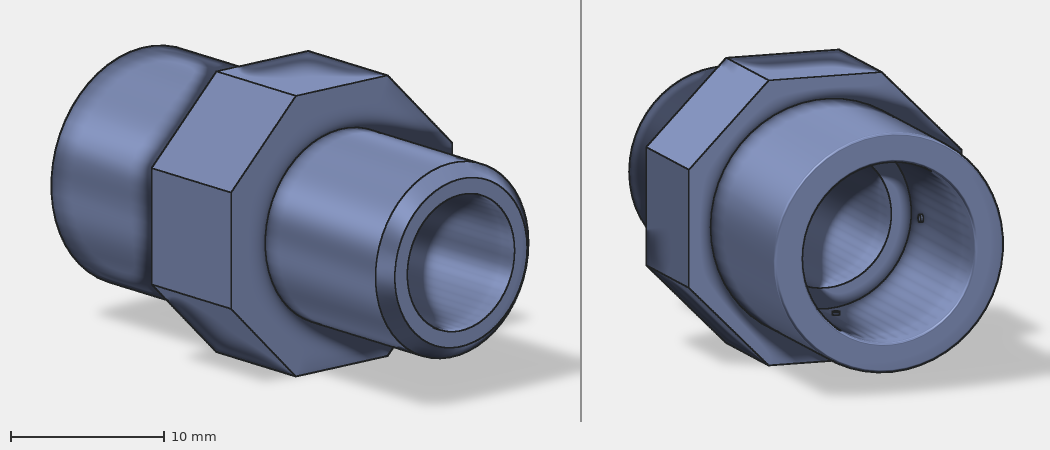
import cadquery as cq
import math

total_length = 32.0
socket_length = 12.0
collar_length = 8.0
socket_diameter = 16.0
collar_across_flats = 19.0
collar_sides = 8
spigot_diameter = 13.15

bore_diameter = 9.2
socket_bore_diameter = 12.0
socket_bore_depth = socket_length

socket_edge_radius = 0.2
spigot_chamfer = 0.9

nub_diameter = 0.5
nub_height = 0.2
nub_position = 10.0
nub_count = 4
nub_overlap = 0.15

spigot_length = total_length - socket_length - collar_length
spigot_start = socket_length + collar_length


def cylinder_along_x(diameter, start, length):
    return cq.Workplane("YZ", origin=(start, 0, 0)).circle(diameter / 2).extrude(length)


def make_socket():
    """Plain tube end with a slightly rounded outer edge."""
    socket = cylinder_along_x(socket_diameter, 0, socket_length)
    return socket.faces("<X").edges().fillet(socket_edge_radius)


def make_collar():
    """Octagonal wrench collar with flats facing Y and Z."""
    across_corners = collar_across_flats / math.cos(math.pi / collar_sides)
    return (
        cq.Workplane("YZ", origin=(socket_length, 0, 0))
        .transformed(rotate=(0, 0, 180 / collar_sides))
        .polygon(collar_sides, across_corners)
        .extrude(collar_length)
    )


def make_spigot():
    """Narrower end with a lead-in chamfer."""
    spigot = cylinder_along_x(spigot_diameter, spigot_start, spigot_length)
    return spigot.faces(">X").edges().chamfer(spigot_chamfer)


def make_bore():
    """Through bore, widened in the socket, flaring through a rounded edge at the mouth."""
    bore_radius = bore_diameter / 2
    socket_bore_radius = socket_bore_diameter / 2
    return (
        cq.Workplane("XY")
        .moveTo(0, 0)
        .lineTo(0, socket_bore_radius + socket_edge_radius)
        .radiusArc((socket_edge_radius, socket_bore_radius), -socket_edge_radius)
        .lineTo(socket_bore_depth, socket_bore_radius)
        .lineTo(socket_bore_depth, bore_radius)
        .lineTo(total_length, bore_radius)
        .lineTo(total_length, 0)
        .close()
        .revolve(360, (0, 0, 0), (1, 0, 0))
    )


def make_nubs():
    """Small round nubs pointing inward from the socket wall, on the Y and Z axes."""
    nub_tip_radius = socket_bore_diameter / 2 - nub_height
    nub = (
        cq.Workplane("XY", origin=(nub_position, 0, nub_tip_radius))
        .circle(nub_diameter / 2)
        .extrude(nub_height + nub_overlap)
    )
    nubs = nub
    for index in range(1, nub_count):
        nubs = nubs.union(nub.rotate((0, 0, 0), (1, 0, 0), index * 360 / nub_count))
    return nubs


body = make_socket().union(make_collar()).union(make_spigot())
result = body.cut(make_bore()).union(make_nubs())